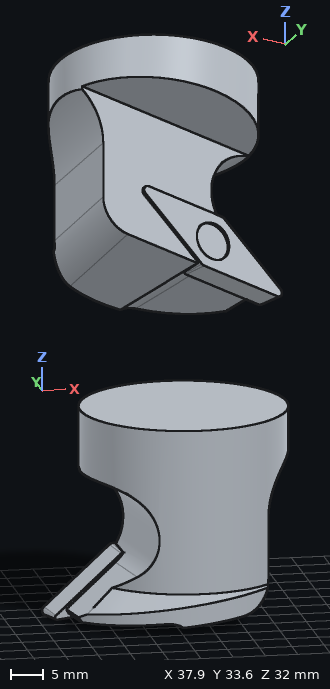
import cadquery as cq
import math

YAW = 9.2
REACH = 40.0

HEAD_HEIGHT = 32.0
SHANK_RADIUS = 16.0
FLANGE_RADIUS = 19.2
FLANGE_CENTER = (-2.42, 1.58)
FLANGE_CONE_TOP = 6.35
FLANGE_CONE_ANGLE = 49.0

FLAT_X = 11.07
FLAT_ROOT_RADIUS = 10.0
FLAT_ROOT_Z = 16.85
FLAT_FOOT_RADIUS = 5.0

INSERT_INCIRCLE = 9.525
INSERT_THICKNESS = 4.76
INSERT_POINT_ANGLE = 35.0
INSERT_NOSE_RADIUS = 0.8
INSERT_RELIEF = 5.0
INSERT_RECESS_DIAMETER = 6.1
INSERT_RECESS_DEPTH = 0.42
NOSE_CENTER_X = -20.785
RAKE_Y = 3.58
LOWER_EDGE_ANGLE = 5.0
UPPER_EDGE_ANGLE = LOWER_EDGE_ANGLE + INSERT_POINT_ANGLE

WALL_Y = 3.12
CEILING_Z = 23.92
GROOVE_RADIUS = 7.8
GROOVE_DEEPEST_X = -8.64
LIP_TOP = (-19.36, 1.95)
LIP_BOTTOM = (-18.97, 1.28)
BASE_Z = 2.08
RECESS_END_X = -6.0
RECESS_ARC_START_X = -8.4


def slope_z(z_start, run, angle):
    """Height reached after a horizontal run along a slope."""
    return z_start + run * math.tan(math.radians(angle))


def polar(center, radius, angle):
    """Point on a circle at an angle from +X."""
    turn = math.radians(angle)
    return (center[0] + radius * math.cos(turn), center[1] + radius * math.sin(turn))


def to_part(shape):
    """Turn a shape from the cutting frame into the part frame."""
    return shape.rotate((0, 0, 0), (0, 0, 1), YAW)


def make_stock():
    """Round shank with the off-centre flange at its foot."""
    shank = cq.Workplane("XY").circle(SHANK_RADIUS).extrude(HEAD_HEIGHT)
    cone_widening = FLANGE_CONE_TOP * math.tan(math.radians(FLANGE_CONE_ANGLE))
    cone = (
        cq.Workplane("XZ")
        .polyline([
            (0, 0),
            (SHANK_RADIUS + cone_widening, 0),
            (SHANK_RADIUS, FLANGE_CONE_TOP),
            (0, FLANGE_CONE_TOP),
        ])
        .close()
        .revolve(360, (0, 0, 0), (0, 1, 0))
    )
    flange = (
        cq.Workplane("XY")
        .center(*FLANGE_CENTER)
        .circle(FLANGE_RADIUS)
        .extrude(FLANGE_CONE_TOP)
        .intersect(cone)
    )
    return shank.union(flange)


def make_side_envelope():
    """Prism along the rake normal: base, clearance recess, lip, ramp, groove and ceiling."""
    groove_x = GROOVE_DEEPEST_X - GROOVE_RADIUS
    ceiling_above_groove = slope_z(CEILING_Z, groove_x, LOWER_EDGE_ANGLE)
    groove_z = ceiling_above_groove - GROOVE_RADIUS / math.cos(math.radians(LOWER_EDGE_ANGLE))
    groove = (groove_x, groove_z)
    ramp_end = polar(groove, GROOVE_RADIUS, UPPER_EDGE_ANGLE - 90)
    groove_deepest = polar(groove, GROOVE_RADIUS, 0)
    ceiling_start = polar(groove, GROOVE_RADIUS, 90 + LOWER_EDGE_ANGLE)

    recess_end = (RECESS_END_X, slope_z(BASE_Z, RECESS_END_X, LOWER_EDGE_ANGLE))
    recess_run = RECESS_ARC_START_X - LIP_BOTTOM[0]
    recess_arc_start = (RECESS_ARC_START_X, slope_z(LIP_BOTTOM[1], recess_run, LOWER_EDGE_ANGLE))

    return to_part(
        cq.Workplane("XZ", origin=(0, REACH, 0))
        .moveTo(REACH, slope_z(BASE_Z, REACH, LOWER_EDGE_ANGLE))
        .lineTo(REACH, HEAD_HEIGHT)
        .lineTo(-REACH, HEAD_HEIGHT)
        .lineTo(-REACH, slope_z(CEILING_Z, -REACH, LOWER_EDGE_ANGLE))
        .lineTo(*ceiling_start)
        .threePointArc(groove_deepest, ramp_end)
        .lineTo(*LIP_TOP)
        .lineTo(*LIP_BOTTOM)
        .lineTo(*recess_arc_start)
        .tangentArcPoint(recess_end, relative=False)
        .close()
        .extrude(2 * REACH)
    )


def make_chip_space():
    """Everything in front of the rake wall and below the sloping ceiling."""
    return to_part(
        cq.Workplane("XZ", origin=(0, WALL_Y + REACH, 0))
        .polyline([
            (-REACH, -REACH),
            (REACH, -REACH),
            (REACH, slope_z(CEILING_Z, REACH, LOWER_EDGE_ANGLE)),
            (-REACH, slope_z(CEILING_Z, -REACH, LOWER_EDGE_ANGLE)),
        ])
        .close()
        .extrude(REACH)
    )


def make_side_cut():
    """Space beyond the +X flat, rounded at its root."""
    root_center = (FLAT_X + FLAT_ROOT_RADIUS, FLAT_ROOT_Z)
    root_top = polar(root_center, FLAT_ROOT_RADIUS, 90)
    return (
        cq.Workplane("XZ", origin=(0, REACH, 0))
        .moveTo(FLAT_X, -REACH)
        .lineTo(FLAT_X, FLAT_ROOT_Z)
        .threePointArc(polar(root_center, FLAT_ROOT_RADIUS, 135), root_top)
        .lineTo(REACH, root_top[1])
        .lineTo(REACH, -REACH)
        .close()
        .extrude(2 * REACH)
    )


def make_insert_blank():
    """Rhombic insert without its recess, tapering behind the rake face."""
    half_angle = math.radians(INSERT_POINT_ANGLE / 2)
    side = INSERT_INCIRCLE / math.sin(2 * half_angle)
    nose_center = (NOSE_CENTER_X, INSERT_NOSE_RADIUS)
    bisector = LOWER_EDGE_ANGLE + INSERT_POINT_ANGLE / 2
    point = polar(nose_center, INSERT_NOSE_RADIUS / math.sin(half_angle), bisector + 180)
    lower = polar(point, side, LOWER_EDGE_ANGLE)
    upper = polar(point, side, UPPER_EDGE_ANGLE)
    rear = polar(lower, side, UPPER_EDGE_ANGLE)
    outline = (
        cq.Sketch()
        .polygon([point, lower, rear, upper, point])
        .vertices()
        .fillet(INSERT_NOSE_RADIUS)
    )
    blank = (
        cq.Workplane("XZ", origin=(0, RAKE_Y, 0))
        .placeSketch(outline)
        .extrude(INSERT_THICKNESS, taper=INSERT_RELIEF)
    )
    center = ((point[0] + rear[0]) / 2, (point[1] + rear[1]) / 2)
    return blank, center


def make_head(insert_blank):
    """Tool head with a seat that fits the insert."""
    envelope = make_side_envelope().cut(make_side_cut())
    foot_edge = cq.selectors.BoxSelector(
        (FLAT_X - 1, -REACH / 2, 0),
        (FLAT_X + 1, REACH / 2, FLANGE_CONE_TOP),
    )
    envelope = envelope.edges(foot_edge).fillet(FLAT_FOOT_RADIUS)
    return make_stock().intersect(envelope).cut(make_chip_space()).cut(to_part(insert_blank))


def make_insert(blank, center):
    """Insert with a shallow round recess in the middle of its rake face."""
    recess = (
        cq.Workplane("XZ", origin=(0, RAKE_Y, 0))
        .center(*center)
        .circle(INSERT_RECESS_DIAMETER / 2)
        .extrude(INSERT_RECESS_DEPTH)
    )
    return to_part(blank.cut(recess))


insert_blank, insert_center = make_insert_blank()
head = make_head(insert_blank)
insert = make_insert(insert_blank, insert_center)

result = cq.Compound.makeCompound([*head.solids().vals(), *insert.solids().vals()])